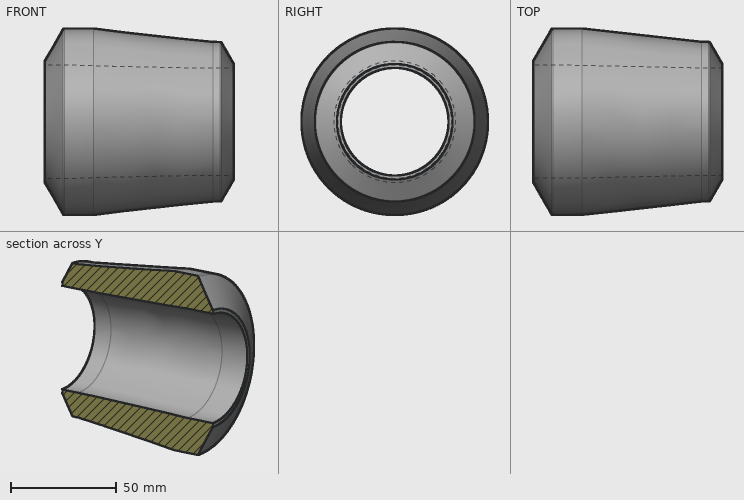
import cadquery as cq
import math

length = 90.0
large_outer_radius = 88.9 / 2
small_outer_radius = 76.1 / 2
large_bore_radius = 53.9 / 2
small_bore_radius = 51.1 / 2

land_width = 2.0
bevel_angle = 30.0
bevel_edge_radius = 1.0

outer_taper_start = 23.1
outer_taper_end = 80.1
bore_taper_start = 15.0
bore_taper_end = outer_taper_end


def bevel_depth(outer_radius, bore_radius):
    """Axial length of the bevel between the end land and the outer cylinder."""
    bevel_height = outer_radius - bore_radius - land_width
    return bevel_height * math.tan(math.radians(bevel_angle))


large_bevel_end = bevel_depth(large_outer_radius, large_bore_radius)
small_bevel_start = length - bevel_depth(small_outer_radius, small_bore_radius)

wall_section = [
    (0, large_bore_radius),
    (0, large_bore_radius + land_width),
    (large_bevel_end, large_outer_radius),
    (outer_taper_start, large_outer_radius),
    (outer_taper_end, small_outer_radius),
    (small_bevel_start, small_outer_radius),
    (length, small_bore_radius + land_width),
    (length, small_bore_radius),
    (bore_taper_end, small_bore_radius),
    (bore_taper_start, large_bore_radius),
]
reducer = cq.Workplane("XY").polyline(wall_section).close().revolve(360, (0, 0, 0), (1, 0, 0))

for edge_x, edge_radius in (
    (large_bevel_end, large_outer_radius),
    (small_bevel_start, small_outer_radius),
):
    bevel_edge = cq.selectors.BoxSelector(
        (edge_x - bevel_edge_radius, -2 * edge_radius, -2 * edge_radius),
        (edge_x + bevel_edge_radius, 2 * edge_radius, 2 * edge_radius),
        boundingbox=True,
    )
    reducer = reducer.edges(bevel_edge).fillet(bevel_edge_radius)

result = reducer